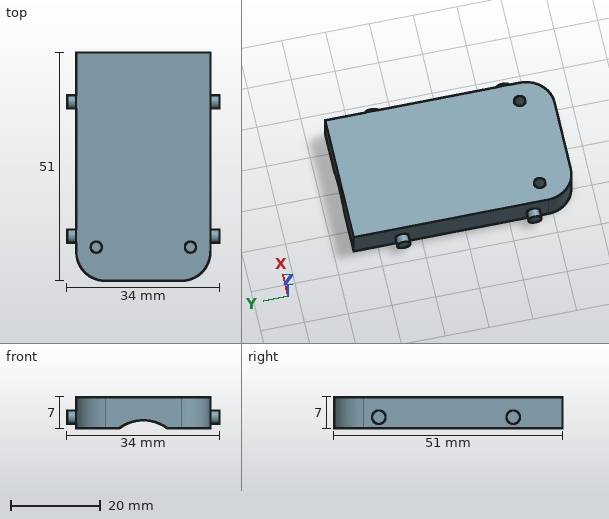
import cadquery as cq

length = 51.0
width = 30.0
height = 7.0
corner_radius = 6.55

pin_span = 34.0
pin_diameter = 3.0
pin_height = 2.5
front_pin_y = 10.0
pin_spacing = 30.0

hole_diameter = 2.5
hole_spacing = 21.0
hole_y = 7.55
hole_depth = 5.0

groove_radius = 9.05
groove_rise = 1.8


def make_plate():
    plate = cq.Workplane("XY").box(width, length, height, centered=(True, False, False))
    return plate.edges("|Z and <Y").fillet(corner_radius)


def make_pin(y):
    """One rod across the full span; its ends form a pair of pins."""
    return (
        cq.Workplane("YZ")
        .center(y, pin_height)
        .circle(pin_diameter / 2)
        .extrude(pin_span / 2, both=True)
    )


def make_holes():
    return (
        cq.Workplane("XY", origin=(0, hole_y, height))
        .pushPoints([(-hole_spacing / 2, 0), (hole_spacing / 2, 0)])
        .circle(hole_diameter / 2)
        .extrude(-hole_depth)
    )


def make_groove():
    return (
        cq.Workplane("XZ")
        .center(0, groove_rise - groove_radius)
        .circle(groove_radius)
        .extrude(-length)
    )


result = make_plate()
for pin_y in (front_pin_y, front_pin_y + pin_spacing):
    result = result.union(make_pin(pin_y))
result = result.cut(make_holes()).cut(make_groove())